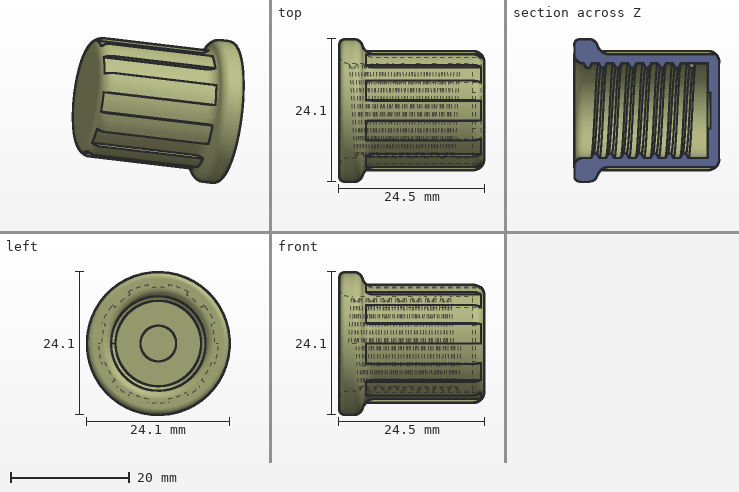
import cadquery as cq
import math

length = 24.5
flange_radius = 12.05
rib_radius = 10.07
groove_radius = 9.5

face_round = 1.05
flange_rim_end = 2.5
flange_back_round = 1.52
neck_fillet = 2.05
end_round = 2.0

rib_count = 9
rib_pitch = 360.0 / rib_count
rib_angle = rib_pitch / 2

bore_radius = 7.96
mouth_round = 1.52
floor_thickness = 2.0
bore_depth = length - floor_thickness
floor_recess_radius = 3.01
floor_recess_depth = 0.5

thread_pitch = 2.5
thread_crest_radius = 7.2
thread_crest_width = 0.56
thread_flank_angle = math.radians(30)
thread_start = 2.33
thread_turns = 7
thread_base_depth = 0.12


def revolve_about_axis(profile, angle=360.0):
    return profile.close().revolve(angle, (0, 0, 0), (1, 0, 0))


def arc_point(center, radius, angle):
    return (center[0] + radius * math.cos(angle), center[1] + radius * math.sin(angle))


def arc_middle(center, radius, start_angle, end_angle):
    """Point halfway along an arc, with angles in radians."""
    return arc_point(center, radius, (start_angle + end_angle) / 2)


def make_core():
    """Flange and neck, turned down to the bottom of the grooves, square at the closed end."""
    face_center = (face_round, flange_radius - face_round)
    back_center = (flange_rim_end, flange_radius - flange_back_round)

    neck_center_radius = groove_radius + neck_fillet
    center_gap = flange_back_round + neck_fillet
    tangent_angle = math.asin((neck_center_radius - back_center[1]) / center_gap)
    neck_center = (flange_rim_end + center_gap * math.cos(tangent_angle), neck_center_radius)

    profile = (
        cq.Workplane("XY")
        .lineTo(0, face_center[1])
        .threePointArc(
            arc_middle(face_center, face_round, math.pi, math.pi / 2),
            (face_round, flange_radius),
        )
        .lineTo(flange_rim_end, flange_radius)
        .threePointArc(
            arc_middle(back_center, flange_back_round, math.pi / 2, tangent_angle),
            arc_point(back_center, flange_back_round, tangent_angle),
        )
        .threePointArc(
            arc_middle(neck_center, neck_fillet, math.pi + tangent_angle, 1.5 * math.pi),
            (neck_center[0], groove_radius),
        )
        .lineTo(length, groove_radius)
        .lineTo(length, 0)
    )
    return revolve_about_axis(profile)


def make_rib():
    """One grip rib, turned from +Y towards +Z and rooted inside the flange and core."""
    profile = (
        cq.Workplane("XY")
        .moveTo(flange_rim_end, bore_radius)
        .lineTo(flange_rim_end, rib_radius)
        .lineTo(length, rib_radius)
        .lineTo(length, bore_radius)
    )
    return revolve_about_axis(profile, rib_angle)


def make_end_cutter():
    """Ring that leaves the closed end rounded, from the rib surface to the end face."""
    end_center = (length - end_round, rib_radius - end_round)
    profile = (
        cq.Workplane("XY")
        .moveTo(end_center[0], rib_radius)
        .threePointArc(
            arc_middle(end_center, end_round, math.pi / 2, 0),
            (length, end_center[1]),
        )
        .lineTo(length + end_round, end_center[1])
        .lineTo(length + end_round, flange_radius)
        .lineTo(end_center[0], flange_radius)
    )
    return revolve_about_axis(profile)


def make_bore():
    """Blind bore with a rounded mouth and a shallow round recess in its floor."""
    mouth_center = (mouth_round, bore_radius + mouth_round)
    profile = (
        cq.Workplane("XY")
        .lineTo(0, mouth_center[1])
        .threePointArc(
            arc_middle(mouth_center, mouth_round, math.pi, 1.5 * math.pi),
            (mouth_round, bore_radius),
        )
        .lineTo(bore_depth, bore_radius)
        .lineTo(bore_depth, floor_recess_radius)
        .lineTo(bore_depth + floor_recess_depth, floor_recess_radius)
        .lineTo(bore_depth + floor_recess_depth, 0)
    )
    return revolve_about_axis(profile)


def make_thread():
    """Thread ridge swept along a helix about Z, then turned onto the X axis."""
    base_radius = bore_radius + thread_base_depth
    half_crest = thread_crest_width / 2
    base_spread = (base_radius - thread_crest_radius) * math.tan(thread_flank_angle)
    half_base = half_crest + base_spread
    section = (
        cq.Workplane("XZ")
        .moveTo(base_radius, -half_base)
        .lineTo(thread_crest_radius, -half_crest)
        .lineTo(thread_crest_radius, half_crest)
        .lineTo(base_radius, half_base)
        .close()
    )
    helix = cq.Wire.makeHelix(thread_pitch, thread_pitch * thread_turns, base_radius)
    ridge = section.sweep(cq.Workplane(obj=helix), isFrenet=True)
    return ridge.rotate((0, 0, 0), (1, 1, 1), 120).translate((thread_start, 0, 0))


body = make_core()
for index in range(rib_count):
    start_angle = 90 + rib_angle / 2 + index * rib_pitch
    body = body.union(make_rib().rotate((0, 0, 0), (1, 0, 0), start_angle))
body = body.cut(make_end_cutter())

result = body.cut(make_bore().cut(make_thread()))